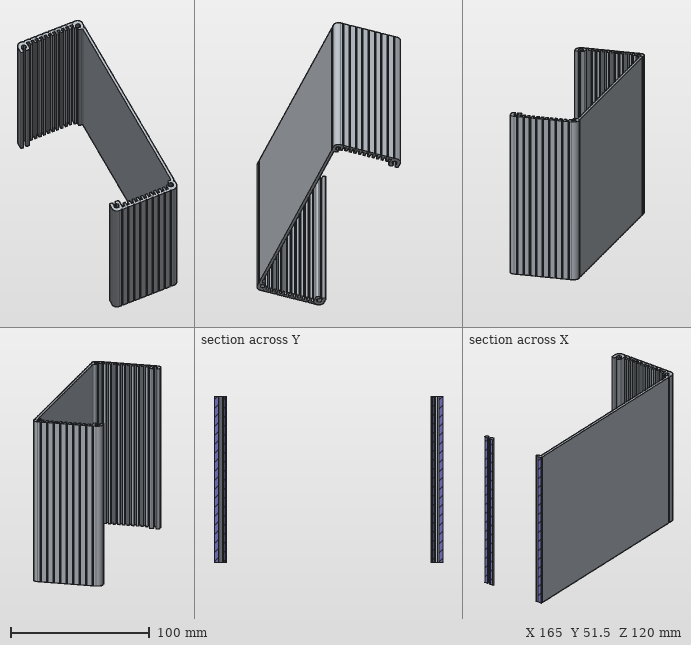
import cadquery as cq
import math

width = 165.0
depth = 51.5
height = 120.0

left = -width / 2
back = depth / 2
front = -depth / 2

wall = 2.1
corner_radius = 4.0

bore_sides = 8
bore_width = 3.3
bore_inset_x = 4.8
back_bore_inset = 4.0
front_bore_inset = 4.1

back_lip_width = 5.6
back_lip_depth = 7.3
lobe_depth = 5.0
lobe_end = 8.4
lobe_tip_radius = 1.0
lobe_root_radius = 0.7

flange_width = 8.5
flange_depth = 7.6
flange_radius = 1.0
flange_inner_radius = 1.5
slot_width = 1.6
slot_inset = 2.6

fin_count = 10
fin_length = 2.8
fin_thickness = 1.6
fin_span = depth - back_lip_depth - flange_depth
fin_gap = (fin_span - fin_count * fin_thickness) / (fin_count + 1)

groove_depth = 0.5
groove_width = 1.2
groove_floor = 0.5
wall_groove_count = 9
wall_groove_margin = 6.3
wall_groove_pitch = (depth - 2 * wall_groove_margin) / (wall_groove_count - 1)
plate_groove_inset = 7.3


def bar(x_start, x_end, y_start, y_end):
    """Full-height rectangular bar between two opposite profile corners."""
    return (
        cq.Workplane("XY")
        .box(x_end - x_start, y_end - y_start, height, centered=(False, False, True))
        .translate((x_start, y_start, 0))
    )


def bore(x, y):
    """Full-height octagonal rod, measured across its flats, with flats facing X and Y."""
    corner_diameter = bore_width / math.cos(math.pi / bore_sides)
    return (
        cq.Workplane("XY")
        .polygon(bore_sides, corner_diameter)
        .extrude(height / 2, both=True)
        .rotate((0, 0, 0), (0, 0, 1), 180 / bore_sides)
        .translate((x, y, 0))
    )


def groove(x, y, turn):
    """Full-height groove cutter, pointing along +X before it is turned about its mouth at (x, y)."""
    return (
        cq.Workplane("XY")
        .moveTo(0, -groove_width / 2)
        .lineTo(groove_depth, -groove_floor / 2)
        .lineTo(groove_depth, groove_floor / 2)
        .lineTo(0, groove_width / 2)
        .close()
        .extrude(height / 2, both=True)
        .rotate((0, 0, 0), (0, 0, 1), turn)
        .translate((x, y, 0))
    )


def back_corner():
    """Lip and rounded lobe that embrace the back screw channel."""
    lip = bar(left, left + back_lip_width, back - back_lip_depth, back)
    bore_x = left + bore_inset_x
    lobe_x = left + lobe_end
    root_y = back - wall
    tip_y = back - lobe_depth
    lobe = (
        cq.Workplane("XY")
        .moveTo(bore_x, root_y)
        .lineTo(bore_x, tip_y)
        .lineTo(lobe_x - lobe_tip_radius, tip_y)
        .radiusArc((lobe_x, tip_y + lobe_tip_radius), -lobe_tip_radius)
        .lineTo(lobe_x, root_y - lobe_root_radius)
        .radiusArc((lobe_x + lobe_root_radius, root_y), lobe_root_radius)
        .close()
        .extrude(height / 2, both=True)
    )
    return lip.union(lobe).cut(bore(bore_x, back - back_bore_inset))


def front_flange():
    """Slotted flange that holds the front screw channel."""
    bore_x = left + bore_inset_x
    tip = left + flange_width
    slot_start = front + slot_inset
    flange = bar(left, tip, front, front + flange_depth)
    slot = bar(bore_x, tip, slot_start, slot_start + slot_width)
    return (
        flange.cut(slot)
        .edges("(>X and |Z) and >Y")
        .fillet(flange_inner_radius)
        .edges("|Z and >X")
        .fillet(flange_radius)
        .cut(bore(bore_x, front + front_bore_inset))
    )


def fins():
    """Comb of fins between the back lip and the front flange."""
    comb = cq.Workplane("XY")
    for index in range(fin_count):
        fin_start = front + flange_depth + fin_gap + index * (fin_thickness + fin_gap)
        fin = bar(left, left + wall + fin_length, fin_start, fin_start + fin_thickness)
        comb = comb.add(fin)
    return comb.combine()


def cut_grooves(side):
    """Groove the outer wall face and the back of the plate near the corner."""
    side = side.cut(groove(left + plate_groove_inset, back, -90))
    for index in range(wall_groove_count):
        groove_y = front + wall_groove_margin + index * wall_groove_pitch
        side = side.cut(groove(left, groove_y, 0))
    return side


def left_half():
    """Left half of the profile, up to the YZ plane."""
    envelope = (
        bar(left, 0, front, back)
        .edges("|Z and <X")
        .fillet(corner_radius)
    )
    plate = bar(left, 0, back - wall, back)
    side_wall = bar(left, left + wall, front, back)
    side = plate.union(side_wall).union(fins())
    side = side.union(back_corner()).union(front_flange())
    return cut_grooves(side.intersect(envelope))


half = left_half()
result = half.union(half.mirror("YZ")).clean()